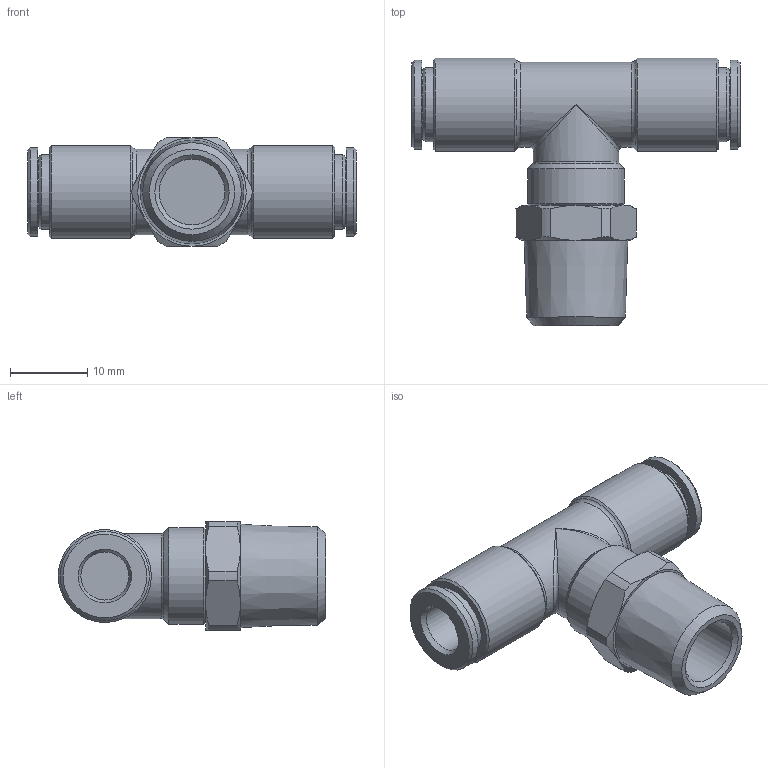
import cadquery as cq
import math


NECK_R = 5.5
BODY_R = 6.0
SLEEVE_R = 4.8
GROOVE_R = 4.5
RING_R = 5.75
NECK_HALF = 7.15
BODY_START = 7.65
BODY_END = 18.4
SLEEVE_END = 19.78
RING_START = 19.9
RUN_HALF = 42.41 / 2
SMALL_CHAMFER = 0.25
SLEEVE_CHAMFER = 0.3
RING_CHAMFER = 0.35
NECK_CROTCH_R = 0.5

BRANCH_LENGTH = 34.5 - BODY_R
BRANCH_NECK_END = 7.35
COLLAR_CONE_START = 7.6
COLLAR_START = 8.25
COLLAR_CONE_R = 5.65
COLLAR_R = 6.25
HEX_START = 13.0
HEX_END = 17.5
THREAD_R = 6.68
THREAD_TAPER = 1 / 16
TIP_CHAMFER_LENGTH = 1.1
TIP_R = 5.5

HEX_FLATS = 14.0
HEX_CORNER_R = 7.75
HEX_CHAMFER_ANGLE = 30

RUN_BORE_R = 3.1
RUN_MOUTH_R = 3.45
RUN_MOUTH_LENGTH = 0.7
RUN_BORE_DEPTH = 13.0
BRANCH_BORE_R = 4.25
BRANCH_MOUTH_R = 4.8
BRANCH_MOUTH_LENGTH = BRANCH_MOUTH_R - BRANCH_BORE_R
BRANCH_BORE_DEPTH = BRANCH_LENGTH - HEX_START


def tangent_arc_middle(start, end):
    """Middle point of the arc that leaves start parallel to the axis and rises to end."""
    length = end[0] - start[0]
    rise = end[1] - start[1]
    radius = (length**2 + rise**2) / (2 * rise)
    half_angle = math.atan2(rise, length)
    along = start[0] + radius * math.sin(half_angle)
    out = start[1] + radius * (1 - math.cos(half_angle))
    return along, out


def revolve_outline(outline):
    """Turn a profile of (distance along X, radius) about the X axis."""
    return outline.close().revolve(360, (0, 0, 0), (1, 0, 0))


def to_branch(solid):
    """Move a shape built along +X onto the -Y branch."""
    return solid.rotate((0, 0, 0), (0, 0, 1), -90)


def make_run_half():
    """Stepped outside of one run end, without the waist."""
    waist_end = (NECK_HALF, NECK_R)
    body_edge = (BODY_START, BODY_R - SMALL_CHAMFER)
    outline = (
        cq.Workplane("XY")
        .moveTo(NECK_HALF, 0)
        .lineTo(*waist_end)
        .threePointArc(tangent_arc_middle(waist_end, body_edge), body_edge)
        .lineTo(BODY_START + SMALL_CHAMFER, BODY_R)
        .lineTo(BODY_END - SMALL_CHAMFER, BODY_R)
        .lineTo(BODY_END, BODY_R - SMALL_CHAMFER)
        .lineTo(BODY_END, SLEEVE_R)
        .lineTo(SLEEVE_END - SLEEVE_CHAMFER, SLEEVE_R)
        .lineTo(SLEEVE_END, GROOVE_R)
        .lineTo(RING_START, GROOVE_R)
        .lineTo(RING_START, RING_R)
        .lineTo(RUN_HALF - RING_CHAMFER, RING_R)
        .lineTo(RUN_HALF, RING_R - RING_CHAMFER)
        .lineTo(RUN_HALF, 0)
    )
    return revolve_outline(outline)


def make_waist():
    """Two equal crossing cylinders with the crotch between them rounded."""
    run = cq.Workplane("YZ").circle(NECK_R).extrude(NECK_HALF, both=True)
    branch = cq.Workplane("XZ").circle(NECK_R).extrude(BRANCH_NECK_END)
    return run.union(branch).edges("%ELLIPSE").fillet(NECK_CROTCH_R)


def make_branch_turning():
    """Collar and tapered thread, turned as one piece."""
    neck_end = (BRANCH_NECK_END, NECK_R)
    cone_start = (COLLAR_CONE_START, COLLAR_CONE_R)
    thread_end = BRANCH_LENGTH - TIP_CHAMFER_LENGTH
    thread_end_r = THREAD_R - (thread_end - HEX_END) * THREAD_TAPER / 2
    outline = (
        cq.Workplane("XY")
        .moveTo(BRANCH_NECK_END, 0)
        .lineTo(*neck_end)
        .threePointArc(tangent_arc_middle(neck_end, cone_start), cone_start)
        .lineTo(COLLAR_START, COLLAR_R)
        .lineTo(HEX_START - SMALL_CHAMFER, COLLAR_R)
        .lineTo(HEX_START, COLLAR_R - SMALL_CHAMFER)
        .lineTo(HEX_END, COLLAR_R - SMALL_CHAMFER)
        .lineTo(HEX_END, THREAD_R)
        .lineTo(thread_end, thread_end_r)
        .lineTo(BRANCH_LENGTH, TIP_R)
        .lineTo(BRANCH_LENGTH, 0)
    )
    return to_branch(revolve_outline(outline))


def make_hexagon():
    """Hexagon with flats on +Z and -Z, corners turned down and both ends chamfered."""
    flat_r = HEX_FLATS / 2
    corner_to_corner = HEX_FLATS / math.cos(math.pi / 6)
    bevel = (HEX_CORNER_R - flat_r) * math.tan(math.radians(HEX_CHAMFER_ANGLE))
    prism = (
        cq.Workplane("XZ", origin=(0, -HEX_START, 0))
        .polygon(6, corner_to_corner)
        .extrude(HEX_END - HEX_START)
    )
    envelope = (
        cq.Workplane("XY")
        .moveTo(HEX_START, 0)
        .lineTo(HEX_START, flat_r)
        .lineTo(HEX_START + bevel, HEX_CORNER_R)
        .lineTo(HEX_END - bevel, HEX_CORNER_R)
        .lineTo(HEX_END, flat_r)
        .lineTo(HEX_END, 0)
    )
    return prism.intersect(to_branch(revolve_outline(envelope)))


def make_bore(face, depth, bore_r, mouth_r, mouth_length):
    """Blind bore entering from a face at +X, with a conical mouth."""
    outline = (
        cq.Workplane("XY")
        .moveTo(face, 0)
        .lineTo(face, mouth_r)
        .lineTo(face - mouth_length, bore_r)
        .lineTo(face - depth, bore_r)
        .lineTo(face - depth, 0)
    )
    return revolve_outline(outline)


run_half = make_run_half()
run_bore = make_bore(RUN_HALF, RUN_BORE_DEPTH, RUN_BORE_R, RUN_MOUTH_R, RUN_MOUTH_LENGTH)
branch_bore = to_branch(
    make_bore(BRANCH_LENGTH, BRANCH_BORE_DEPTH, BRANCH_BORE_R, BRANCH_MOUTH_R, BRANCH_MOUTH_LENGTH)
)

result = make_waist().union(make_branch_turning()).union(make_hexagon())
result = result.union(run_half).union(run_half.mirror("YZ"))
result = result.cut(run_bore).cut(run_bore.mirror("YZ")).cut(branch_bore)